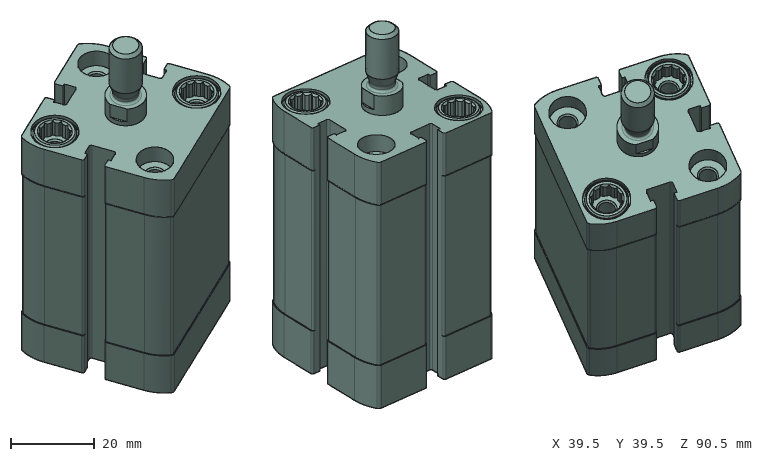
import cadquery as cq
import math

TOTAL_HEIGHT = 90.5
CAP_WIDTH = 39.5
HOUSING_HEIGHT = 69.0
CAP_HEIGHT = 12.0
BARREL_INSET = 0.3

CORNER_RADIUS = 12.5
CORNER_EDGE_RADIUS = 1.0

SCREW_OFFSET = 12.9
THROUGH_DIAMETER = 4.2
COUNTERSINK_DIAMETER = 5.0
COUNTERBORE_DIAMETER = 9.0
COUNTERBORE_DEPTH = 4.7

HEAD_RECESS_DIAMETER = 11.5
HEAD_DIAMETER = 10.5
HEAD_TOP_DIAMETER = 9.7
HEAD_GROOVE_DEPTH = 1.0
SOCKET_MOUTH_DIAMETER = 8.3
SOCKET_TIP_DIAMETER = 8.0
SOCKET_FLAT_DIAMETER = 7.2
SOCKET_POINTS = 12
SOCKET_FLAT_SHARE = 0.5

SLOT_MOUTH_WIDTH = 5.25
SLOT_INNER_WIDTH = 6.8
SLOT_LIP_DEPTH = 2.4
SLOT_DEPTH = 5.7
SLOT_EDGE_RADIUS = 0.5
SLOT_ANGLES = (0, 180, 270)

COLLAR_DIAMETER = 10.0
COLLAR_HEIGHT = 5.4
WRENCH_FLAT_WIDTH = 9.0
WRENCH_FLAT_START = 1.4
NECK_DIAMETER = 6.2
NECK_FILLET = 0.6
NECK_LENGTH = 1.5
CONE_BLEND_RADIUS = 1.0
CONE_LENGTH = 2.5
THREAD_DIAMETER = 8.0
THREAD_TIP_DIAMETER = 6.2

EDGE_SEARCH = 0.1
DIAGONAL = math.sqrt(0.5)


def slab_block(half_width, height):
    """Plain slab with its four rounded corners."""
    radius = CORNER_RADIUS - (CAP_WIDTH / 2 - half_width)
    arc_centre = half_width - radius

    def arc_y(x):
        return arc_centre + math.sqrt(radius**2 - (x - SCREW_OFFSET) ** 2)

    arc_middle_x = (SCREW_OFFSET + half_width) / 2
    middle_y = arc_y(arc_middle_x)
    end_y = arc_y(half_width)
    return (
        cq.Workplane("XY")
        .moveTo(-SCREW_OFFSET, -half_width)
        .lineTo(SCREW_OFFSET, -half_width)
        .threePointArc((arc_middle_x, -middle_y), (half_width, -end_y))
        .lineTo(half_width, end_y)
        .threePointArc((arc_middle_x, middle_y), (SCREW_OFFSET, half_width))
        .lineTo(-SCREW_OFFSET, half_width)
        .threePointArc((-arc_middle_x, middle_y), (-half_width, end_y))
        .lineTo(-half_width, -end_y)
        .threePointArc((-arc_middle_x, -middle_y), (-SCREW_OFFSET, -half_width))
        .close()
        .extrude(height)
        .edges("|Z and (<X or >X)")
        .fillet(CORNER_EDGE_RADIUS)
    )


def slot_cutter(half_width, height):
    """T-slot in the -Y face, with a rounded mouth and rounded floor corners."""
    mouth = SLOT_MOUTH_WIDTH / 2
    inner = SLOT_INNER_WIDTH / 2
    lip_y = -CAP_WIDTH / 2 + SLOT_LIP_DEPTH
    floor_y = -CAP_WIDTH / 2 + SLOT_DEPTH
    radius = SLOT_EDGE_RADIUS
    bulge = radius * (1 - DIAGONAL)
    return (
        cq.Workplane("XY")
        .moveTo(-mouth - radius, -half_width)
        .lineTo(mouth + radius, -half_width)
        .threePointArc((mouth + bulge, -half_width + bulge), (mouth, -half_width + radius))
        .lineTo(mouth, lip_y)
        .lineTo(inner, lip_y)
        .lineTo(inner, floor_y - radius)
        .threePointArc((inner - bulge, floor_y - bulge), (inner - radius, floor_y))
        .lineTo(radius - inner, floor_y)
        .threePointArc((bulge - inner, floor_y - bulge), (-inner, floor_y - radius))
        .lineTo(-inner, lip_y)
        .lineTo(-mouth, lip_y)
        .lineTo(-mouth, -half_width + radius)
        .threePointArc((-mouth - bulge, -half_width + bulge), (-mouth - radius, -half_width))
        .close()
        .extrude(height)
    )


def slotted_slab(inset, bottom, height):
    """One housing section with its T-slots."""
    half_width = CAP_WIDTH / 2 - inset
    slab = slab_block(half_width, height)
    slot = slot_cutter(half_width, height)
    for angle in SLOT_ANGLES:
        slab = slab.cut(slot.rotate((0, 0, 0), (0, 0, 1), angle))
    return slab.translate((0, 0, bottom))


def cylinder(diameter, top, depth):
    """Cylinder on the Z axis that reaches down from a given height."""
    return cq.Workplane("XY").workplane(offset=top - depth).circle(diameter / 2).extrude(depth)


def cone_down(top_diameter, bottom_diameter, top):
    """45 degree cone on the Z axis, narrowing or widening downwards."""
    height = abs(top_diameter - bottom_diameter) / 2
    profile = [
        (0, top - height),
        (bottom_diameter / 2, top - height),
        (top_diameter / 2, top),
        (0, top),
    ]
    return cq.Workplane("XZ").polyline(profile).close().revolve(360, (0, 0), (0, 1))


def through_hole_cutter():
    """Through hole with a countersink at the recess floor."""
    floor = HOUSING_HEIGHT - COUNTERBORE_DEPTH
    hole = cylinder(THROUGH_DIAMETER, floor, floor)
    return hole.union(cone_down(COUNTERSINK_DIAMETER, THROUGH_DIAMETER, floor))


def counterbore_cutter():
    """Open counterbore in the top face."""
    return cylinder(COUNTERBORE_DIAMETER, HOUSING_HEIGHT, COUNTERBORE_DEPTH)


def socket_cutter():
    """Twelve-point socket: a flat between every two outward tips, and a conical mouth."""
    pitch = 2 * math.pi / SOCKET_POINTS
    half_flat = pitch * SOCKET_FLAT_SHARE / 2
    flat_radius = SOCKET_FLAT_DIAMETER / 2 / math.cos(half_flat)
    outline = []
    for index in range(SOCKET_POINTS):
        tip_angle = index * pitch
        flat_angle = tip_angle + pitch / 2
        corners = (
            (SOCKET_TIP_DIAMETER / 2, tip_angle),
            (flat_radius, flat_angle - half_flat),
            (flat_radius, flat_angle + half_flat),
        )
        for radius, angle in corners:
            outline.append((radius * math.cos(angle), radius * math.sin(angle)))
    socket = (
        cq.Workplane("XY")
        .workplane(offset=HOUSING_HEIGHT - COUNTERBORE_DEPTH)
        .polyline(outline)
        .close()
        .extrude(COUNTERBORE_DEPTH)
    )
    return socket.union(cone_down(SOCKET_MOUTH_DIAMETER, SOCKET_FLAT_DIAMETER, HOUSING_HEIGHT))


def screw_head_cutter():
    """Ring groove around a chamfered screw head, together with the head's socket."""
    groove = cylinder(HEAD_RECESS_DIAMETER, HOUSING_HEIGHT, HEAD_GROOVE_DEPTH)
    chamfer = cone_down(HEAD_TOP_DIAMETER, HEAD_DIAMETER, HOUSING_HEIGHT)
    chamfer_height = (HEAD_DIAMETER - HEAD_TOP_DIAMETER) / 2
    head = cylinder(HEAD_DIAMETER, HOUSING_HEIGHT - chamfer_height, HEAD_GROOVE_DEPTH - chamfer_height)
    return groove.cut(head.union(chamfer)).union(socket_cutter())


def make_housing():
    """Bottom cap, barrel and top cap as one body, with all corner holes."""
    top_cap_bottom = HOUSING_HEIGHT - CAP_HEIGHT
    housing = slotted_slab(0, 0, CAP_HEIGHT)
    housing = housing.union(slotted_slab(BARREL_INSET, CAP_HEIGHT, top_cap_bottom - CAP_HEIGHT))
    housing = housing.union(slotted_slab(0, top_cap_bottom, CAP_HEIGHT))

    through_hole = through_hole_cutter()
    counterbore = counterbore_cutter()
    screw_head = screw_head_cutter()
    for x_side in (-1, 1):
        for y_side in (-1, 1):
            recess = screw_head if x_side == y_side else counterbore
            place = (x_side * SCREW_OFFSET, y_side * SCREW_OFFSET, 0)
            housing = housing.cut(through_hole.translate(place)).cut(recess.translate(place))
    return housing


def make_rod():
    """Piston rod end: collar with two wrench flats, neck, cone and chamfered thread."""
    collar_top = HOUSING_HEIGHT + COLLAR_HEIGHT
    neck_top = collar_top + NECK_LENGTH
    neck_radius = NECK_DIAMETER / 2
    thread_radius = THREAD_DIAMETER / 2
    tip_radius = THREAD_TIP_DIAMETER / 2
    bulge = NECK_FILLET * (1 - DIAGONAL)
    rod = (
        cq.Workplane("XZ")
        .moveTo(0, HOUSING_HEIGHT)
        .lineTo(COLLAR_DIAMETER / 2, HOUSING_HEIGHT)
        .lineTo(COLLAR_DIAMETER / 2, collar_top)
        .lineTo(neck_radius + NECK_FILLET, collar_top)
        .threePointArc((neck_radius + bulge, collar_top + bulge), (neck_radius, collar_top + NECK_FILLET))
        .lineTo(neck_radius, neck_top)
        .lineTo(thread_radius, neck_top + CONE_LENGTH)
        .lineTo(thread_radius, TOTAL_HEIGHT - (thread_radius - tip_radius))
        .lineTo(tip_radius, TOTAL_HEIGHT)
        .lineTo(0, TOTAL_HEIGHT)
        .close()
        .revolve(360, (0, 0), (0, 1))
    )
    cone_foot = cq.selectors.BoxSelector(
        (-THREAD_DIAMETER, -THREAD_DIAMETER, neck_top - EDGE_SEARCH),
        (THREAD_DIAMETER, THREAD_DIAMETER, neck_top + EDGE_SEARCH),
    )
    rod = rod.edges(cone_foot).fillet(CONE_BLEND_RADIUS)

    flat_height = COLLAR_HEIGHT - WRENCH_FLAT_START
    for side in (-1, 1):
        cutter = cq.Workplane("XY").box(COLLAR_DIAMETER, COLLAR_DIAMETER, flat_height)
        cutter_y = side * (WRENCH_FLAT_WIDTH + COLLAR_DIAMETER) / 2
        rod = rod.cut(cutter.translate((0, cutter_y, collar_top - flat_height / 2)))
    return rod


housing = make_housing()
rod = make_rod()

result = cq.Compound.makeCompound([housing.val(), rod.val()])